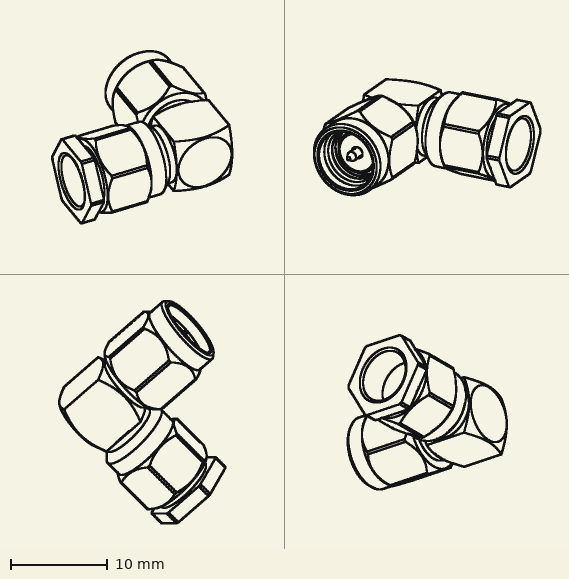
import cadquery as cq
import math


OVERALL_Y = 17.76

HEX_FLATS = 7.95
HEX_CORNER_R = 4.51
HEX_END_R = 3.92

BLOCK = 6.4
BLOCK_HALF = BLOCK / 2
BLOCK_DIAGONAL_R = BLOCK_HALF * math.sqrt(2)
BLOCK_END_R = 3.05
BLOCK_CHAMFER_L = 0.78
NECK_R = 3.05

PLUG_END = 12.35
PLUG_HEX_START = 3.96
PLUG_HEX_END = 10.28
PLUG_HEX_CHAMFER_L = 0.73
COLLAR_R = 3.9
COLLAR_RIM_R = 3.64
COLLAR_CHAMFER_L = 0.32

MOUTH_RIM_R = 3.3
MOUTH_R = 3.16
MOUTH_CHAMFER_L = 0.09
MOUTH_END = 11.14
SOCKET_R = 2.7
THREAD_DEPTH = MOUTH_R - SOCKET_R
THREAD_PITCH = 0.71
THREAD_CREST_L = 0.09
THREAD_RINGS = 3
THREAD_FLANK_ANGLE = math.radians(30)
LAST_CREST = 8.85

TUBE_R = 2.24
TUBE_FACE_R = 2.05
TUBE_END = 9.85
TUBE_CHAMFER_L = 0.1
PIN_R = 0.5
PIN_TIP_R = 0.2
PIN_TAPER_START = 11.01
PIN_END = 11.7
PIN_WELL_R = 0.62
PIN_WELL_DEPTH = 0.35

CABLE_END = OVERALL_Y - HEX_FLATS / 2
CABLE_NECK_END = 3.95
SHOULDER_R = 3.9
SHOULDER_START = 4.81
CABLE_HEX_START = 6.5
CABLE_HEX_END = 11.58
CABLE_HEX_CHAMFER_L = 0.5
GLAND_NECK_R = 3.18
GLAND_HEX_START = 12.29
BORE_R = 2.75
BORE_RIM_R = 3.04
BORE_CHAMFER_L = 0.2
BORE_DEPTH = 3.5


def turned(profile):
    """Solid of revolution about Z; the profile is closed along the axis."""
    first_station = profile[0][0]
    last_station = profile[-1][0]
    outline = [(0, first_station)]
    outline += [(radius, station) for station, radius in profile]
    outline.append((0, last_station))
    return cq.Workplane("XZ").polyline(outline).close().revolve(360, (0, 0), (0, 1))


def barrel(start, end, end_radius, middle_radius, chamfer_length):
    """Cylinder with a chamfer cone at each end."""
    return turned([
        (start, end_radius),
        (start + chamfer_length, middle_radius),
        (end - chamfer_length, middle_radius),
        (end, end_radius),
    ])


def hex_prism(start, end):
    """Hexagonal prism along Z with its corners on the X axis."""
    across_corners = HEX_FLATS / math.cos(math.pi / 6)
    return cq.Workplane("XY").workplane(offset=start).polygon(6, across_corners).extrude(end - start)


def chamfered_hex(start, end, chamfer_length):
    return hex_prism(start, end).intersect(
        barrel(start, end, HEX_END_R, HEX_CORNER_R, chamfer_length)
    )


def along_minus_x(solid):
    """Turn +Z to -X; the former X axis becomes Z."""
    return solid.rotate((0, 0, 0), (0, 1, 0), -90)


def along_minus_y(solid):
    """Turn +Z to -Y; the X axis stays in place."""
    return solid.rotate((0, 0, 0), (1, 0, 0), 90)


def elbow_block():
    """Cube with conical corner chamfers about the plug axis."""
    cones = barrel(-BLOCK_HALF, BLOCK_HALF, BLOCK_END_R, BLOCK_DIAGONAL_R, BLOCK_CHAMFER_L)
    return cq.Workplane("XY").box(BLOCK, BLOCK, BLOCK).intersect(along_minus_x(cones))


def plug_arm():
    neck = turned([(0, NECK_R), (PLUG_HEX_START, NECK_R)])
    nut = chamfered_hex(PLUG_HEX_START, PLUG_HEX_END, PLUG_HEX_CHAMFER_L)
    collar = turned([
        (PLUG_HEX_END, COLLAR_R),
        (PLUG_END - COLLAR_CHAMFER_L, COLLAR_R),
        (PLUG_END, COLLAR_RIM_R),
    ])
    return along_minus_x(neck.union(nut).union(collar).cut(socket()).union(contact()))


def thread_groove(middle):
    """Ring cutter with V flanks, centred on the given station."""
    half_opening = (THREAD_PITCH - THREAD_CREST_L) / 2
    half_root = half_opening - THREAD_DEPTH * math.tan(THREAD_FLANK_ANGLE)
    return turned([
        (middle - half_opening, SOCKET_R),
        (middle - half_root, MOUTH_R),
        (middle + half_root, MOUTH_R),
        (middle + half_opening, SOCKET_R),
    ])


def socket():
    """Cutter for the plug opening: plain mouth, 45 degree lead-in and thread rings."""
    cutter = turned([
        (LAST_CREST, SOCKET_R),
        (MOUTH_END - THREAD_DEPTH, SOCKET_R),
        (MOUTH_END, MOUTH_R),
        (PLUG_END - MOUTH_CHAMFER_L, MOUTH_R),
        (PLUG_END, MOUTH_RIM_R),
    ])
    for ring in range(THREAD_RINGS):
        cutter = cutter.union(thread_groove(LAST_CREST + (ring + 0.5) * THREAD_PITCH))
    return cutter


def contact():
    """Contact tube with the pin standing in a shallow well in its face."""
    well_floor = TUBE_END - PIN_WELL_DEPTH
    tube = turned([
        (PLUG_HEX_START, TUBE_R),
        (TUBE_END - TUBE_CHAMFER_L, TUBE_R),
        (TUBE_END, TUBE_FACE_R),
    ])
    well = turned([(well_floor, PIN_WELL_R), (TUBE_END, PIN_WELL_R)])
    pin = turned([
        (PLUG_HEX_START, PIN_R),
        (PIN_TAPER_START, PIN_R),
        (PIN_END, PIN_TIP_R),
    ])
    return tube.cut(well).union(pin)


def cable_arm():
    body = turned([
        (0, NECK_R),
        (CABLE_NECK_END, NECK_R),
        (SHOULDER_START, SHOULDER_R),
        (CABLE_HEX_START, SHOULDER_R),
    ])
    nut = chamfered_hex(CABLE_HEX_START, CABLE_HEX_END, CABLE_HEX_CHAMFER_L)
    nut = nut.rotate((0, 0, 0), (0, 0, 1), 90)
    gland_neck = turned([(CABLE_HEX_END, GLAND_NECK_R), (GLAND_HEX_START, GLAND_NECK_R)])
    gland_head = hex_prism(GLAND_HEX_START, CABLE_END).intersect(
        turned([(GLAND_HEX_START, HEX_CORNER_R), (CABLE_END, HEX_CORNER_R)])
    )
    bore = turned([
        (CABLE_END - BORE_DEPTH, BORE_R),
        (CABLE_END - BORE_CHAMFER_L, BORE_R),
        (CABLE_END, BORE_RIM_R),
    ])
    return along_minus_y(body.union(nut).union(gland_neck).union(gland_head).cut(bore))


result = elbow_block().union(plug_arm()).union(cable_arm())